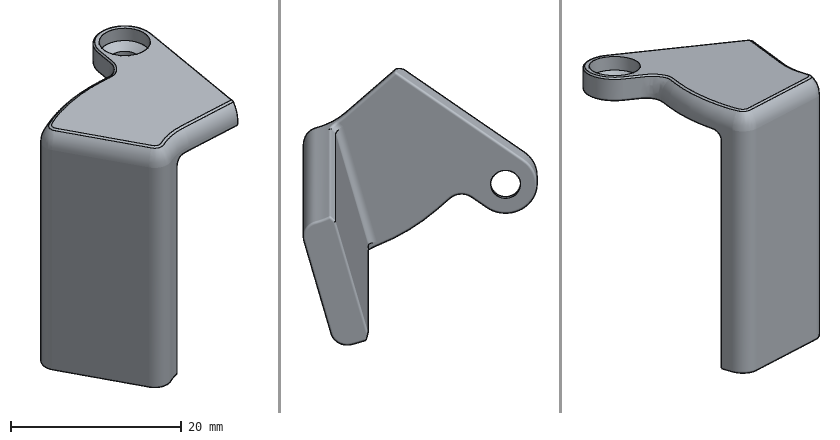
import cadquery as cq
import math

height = 33.0
plate_thickness = 3.0
plate_bottom = height - plate_thickness
leg_depth = 4.3
leg_flare_radius = 1.0
bevel_depth = 0.5
bevel_width = 0.85

body_width = 16.05
left_bend_radius = 24.1
right_bend_radius = 8.25
bend_angle = math.radians(27.5)
corner_radius = 2.0

lug_centre = (3.73, 21.75)
lug_radius = 3.73
lug_slope = math.radians(38.4)
lug_length = 9.9
lug_blend_radius = 2.0
hole_diameter = 3.5
counterbore_diameter = 6.0
counterbore_depth = 1.7
countersink_end_depth = 2.4

crown_radius = 3.0
crown_drop = 2.3
crown_base = height - crown_drop
edge_radius = 0.3
top_chamfer = 0.2

margin = 3.3
nudge = 0.33


def along(point, angle, distance):
    return (point[0] + distance * math.cos(angle), point[1] + distance * math.sin(angle))


def bend_point(wall_x, radius, angle):
    """Point on the bend that leaves the side of a front corner and curves to the right."""
    return (wall_x + radius * (1 - math.cos(angle)), corner_radius + radius * math.sin(angle))


def line_crossing(p, p_angle, q, q_angle):
    turn = math.sin(q_angle - p_angle)
    step = ((q[0] - p[0]) * math.sin(q_angle) - (q[1] - p[1]) * math.cos(q_angle)) / turn
    return along(p, p_angle, step)


def box_around(point, reach, bottom, top):
    """Selector for edges centred near a point in plan and between two heights."""
    x, y = point
    return cq.selectors.BoxSelector((x - reach, y - reach, bottom), (x + reach, y + reach, top))


side_angle = math.pi / 2 - bend_angle
lug_angle = -lug_slope
lug_normal = math.pi / 2 - lug_slope
left_bend_end = bend_point(0, left_bend_radius, bend_angle)
left_bend_middle = bend_point(0, left_bend_radius, bend_angle / 2)
right_bend_end = bend_point(body_width, right_bend_radius, bend_angle)
right_bend_middle = bend_point(body_width, right_bend_radius, bend_angle / 2)
lug_upper = along(lug_centre, lug_normal, lug_radius)
lug_lower = along(lug_centre, lug_normal, -lug_radius)
left_tip = line_crossing(left_bend_end, side_angle, lug_upper, lug_angle)
right_tip = line_crossing(right_bend_end, side_angle, lug_upper, lug_angle)
lug_corner = line_crossing(left_bend_end, side_angle, lug_lower, lug_angle)

leg_rise_angle_left = math.asin((leg_depth - corner_radius) / left_bend_radius)
leg_rise_angle_right = math.asin((leg_depth - corner_radius) / right_bend_radius)
leg_back_left = bend_point(0, left_bend_radius, leg_rise_angle_left)
leg_back_right = bend_point(body_width, right_bend_radius, leg_rise_angle_right)


def body_walls(bottom, left_end, right_end):
    """Open outline from the left wall, round the front corners, to the right wall."""
    r = corner_radius
    arc_gap = r * (1 - math.sqrt(0.5))
    return (
        cq.Workplane("XY", origin=(0, 0, bottom))
        .moveTo(*left_end)
        .lineTo(*left_bend_end)
        .threePointArc(left_bend_middle, (0, r))
        .threePointArc((arc_gap, arc_gap), (r, 0))
        .lineTo(body_width - r, 0)
        .threePointArc((body_width - arc_gap, arc_gap), (body_width, r))
        .threePointArc(right_bend_middle, right_bend_end)
        .lineTo(*right_end)
    )


def body_prism(bottom, top):
    return body_walls(bottom, left_tip, right_tip).close().extrude(top - bottom)


def crown_cutter():
    """Material outside the rounded upper edge, swept along the walls past both ends."""
    left_end = along(left_tip, side_angle, margin)
    right_end = along(right_tip, side_angle, margin)
    crown_angle = math.asin(crown_drop / crown_radius)

    def arc_point(angle):
        return (crown_radius * (1 - math.cos(angle)), crown_radius * math.sin(angle))

    section_plane = cq.Plane(
        origin=(*left_end, crown_base),
        xDir=(math.sin(side_angle), -math.cos(side_angle), 0),
        normal=(-math.cos(side_angle), -math.sin(side_angle), 0),
    )
    inset = arc_point(crown_angle)[0]
    section = (
        cq.Workplane(section_plane)
        .threePointArc(arc_point(crown_angle / 2), arc_point(crown_angle))
        .lineTo(inset, crown_drop + nudge)
        .lineTo(-nudge, crown_drop + nudge)
        .lineTo(-nudge, 0)
        .close()
    )
    return section.sweep(body_walls(crown_base, left_end, right_end), transition="right")


def make_lug():
    middle = along(lug_centre, lug_angle, lug_length / 2)
    return (
        cq.Workplane("XY", origin=(*middle, plate_bottom))
        .slot2D(lug_length + 2 * lug_radius, 2 * lug_radius, math.degrees(lug_angle))
        .extrude(plate_thickness)
    )


def make_plate():
    """Crowned body and lug, blended together, with the tip and upper rim broken."""
    body = body_prism(plate_bottom, height).cut(crown_cutter())
    plate = body.union(make_lug()).clean()
    blend_edge = cq.selectors.NearestToPointSelector((*lug_corner, plate_bottom))
    plate = plate.edges("|Z").edges(blend_edge).fillet(lug_blend_radius)
    tip_edges = box_around(right_tip, margin / 2, plate_bottom + edge_radius, height - edge_radius)
    plate = plate.edges(tip_edges).fillet(edge_radius)
    return plate.faces(">Z").edges().chamfer(top_chamfer)


def bevel_leg_corner(leg, corner, inward):
    """Cut a shallow bevel on one back corner of the leg and round it into the side wall."""
    x, y = corner
    cutter = (
        cq.Workplane("XY")
        .moveTo(x + inward * bevel_width, y)
        .lineTo(x - inward * bevel_width, y - 2 * bevel_depth)
        .lineTo(x - inward * bevel_width, y)
        .close()
        .extrude(plate_bottom)
    )
    side_edge = cq.selectors.NearestToPointSelector((x, y - bevel_depth, plate_bottom / 2))
    return leg.cut(cutter).edges("|Z").edges(side_edge).fillet(edge_radius)


def make_leg():
    """Leg flaring into the plate; the flare is trimmed flush with the body walls."""
    leg_zone = cq.Workplane("XY").box(4 * body_width, 2 * leg_depth, 2 * height)
    leg = body_prism(0, plate_bottom).intersect(leg_zone)
    leg = bevel_leg_corner(leg, leg_back_left, 1)
    leg = bevel_leg_corner(leg, leg_back_right, -1)
    leg = leg.edges("<Z").fillet(edge_radius)

    slab = (
        cq.Workplane("XY", origin=(0, 0, plate_bottom))
        .rect(4 * body_width, 2 * (leg_depth + margin))
        .extrude(nudge)
    )
    leg_root = box_around((body_width / 2, 0), body_width, plate_bottom - nudge / 2, plate_bottom + nudge / 4)
    leg_root_edges = leg.union(slab).edges(leg_root).edges(
        cq.selectors.BoxSelector((-nudge, -nudge, 0), (body_width + margin, leg_depth + nudge, height))
    )
    return leg_root_edges.fillet(leg_flare_radius).intersect(body_prism(0, plate_bottom + nudge))


def screw_hole():
    hole_radius = hole_diameter / 2
    counterbore_radius = counterbore_diameter / 2
    return (
        cq.Workplane("XZ", origin=(*lug_centre, height))
        .lineTo(counterbore_radius, 0)
        .lineTo(counterbore_radius, -counterbore_depth)
        .lineTo(hole_radius, -countersink_end_depth)
        .lineTo(hole_radius, -plate_thickness)
        .lineTo(0, -plate_thickness)
        .close()
        .revolve(360, (0, 0, 0), (0, 1, 0))
    )


def round_lower_rim(part):
    """Round the rim of the plate's underside, starting from the lug and the leg root."""
    underside = cq.selectors.BoxSelector(
        (0, 0, plate_bottom - nudge),
        (body_width + margin, lug_centre[1] + lug_radius, plate_bottom + nudge),
    )
    rim_edges = part.faces("|Z").faces(underside).edges().edges(">>Y[0] or >Y")
    return rim_edges.fillet(edge_radius)


part = make_plate().union(make_leg()).clean()
result = round_lower_rim(part).cut(screw_hole())